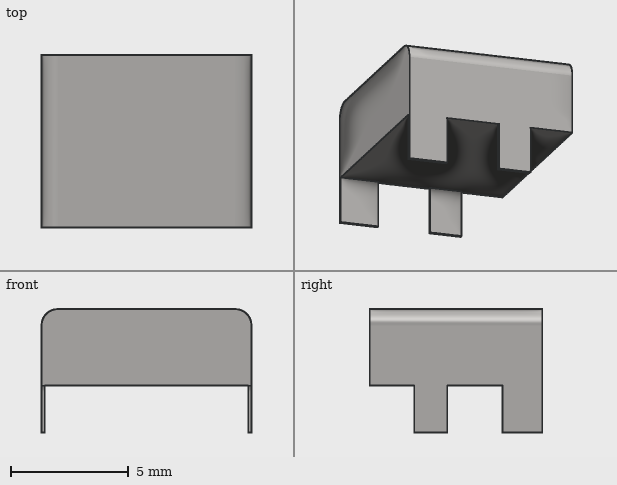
import cadquery as cq

width = 8.94
depth = 7.35
overall_height = 5.26
edge_radius = 0.7

leg_length = 2.0
leg_thickness = 0.15
rear_leg_width = 1.7
front_leg_width = 1.42
front_leg_setback = 1.89

body_height = overall_height - leg_length
half_width = width / 2
half_depth = depth / 2


def make_body():
    """Block standing on Z = 0 with its two long upper edges rounded."""
    block = cq.Workplane("XY").box(width, depth, body_height, centered=(True, True, False))
    return block.edges("|Y and >Z").fillet(edge_radius)


def make_leg(x_start, y_start, leg_width):
    """Thin flat leg hanging below the body from its lower X and Y corner."""
    leg = cq.Workplane("XY").box(leg_thickness, leg_width, leg_length, centered=False)
    return leg.translate((x_start, y_start, -leg_length))


def add_legs(body):
    """Join a front and a rear leg flush with each X side of the body."""
    front_leg_start = -half_depth + front_leg_setback
    rear_leg_start = half_depth - rear_leg_width
    for x_start in (-half_width, half_width - leg_thickness):
        body = body.union(make_leg(x_start, front_leg_start, front_leg_width))
        body = body.union(make_leg(x_start, rear_leg_start, rear_leg_width))
    return body


result = add_legs(make_body())